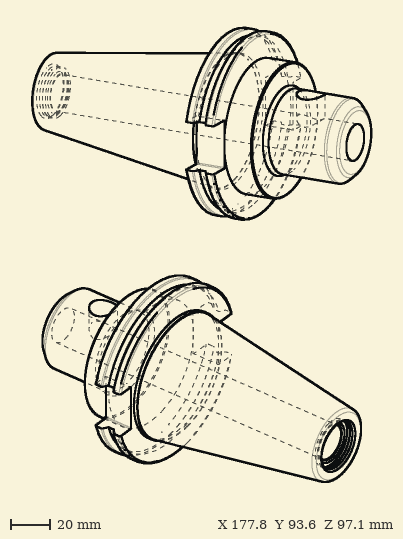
import cadquery as cq

total_length = 177.8
taper_end = 102.6
flange_start = 104.7
flange_end = 121.0
collar_end = 137.0

taper_large_dia = 69.9
taper_band_dia = 70.6
taper_small_dia = 40.0
collar_dia = 70.6
flange_dia = 97.1
nose_dia = 44.5

taper_end_fillet = 1.8
flange_rim_fillet = 0.9
slot_corner_fillet = 0.5
collar_chamfer = 0.5
neck_relief = 2.7
neck_fillet = 1.2
nose_chamfer_length = 5.2
nose_chamfer_depth = 4.6
nose_tip_fillet = 2.5
nose_shoulder_fillet = 1.8

groove_center = (flange_start + flange_end) / 2
groove_floor_width = 3.5
groove_top_width = 7.5
groove_depth = 3.0

slot_width = 25.8
slot_floor_front = 35.0
slot_floor_back = 37.7

bore_dia = 19.0
step_dia = 20.1
step_rim_dia = 22.0
counterbore_dia = 26.1
entrance_dia = 28.3
relief_dia = 26.7
relief_start = 2.8
counterbore_depth = 4.6

side_hole_dia = 14.4
side_hole_x = 151.9


def revolve_about_x(profile):
    """Revolve a closed XY profile a full turn about the X axis."""
    return profile.close().revolve(360, (0, 0, 0), (1, 0, 0))


def make_cylinder(start, end, diameter):
    """Cylinder along the X axis between two stations."""
    return cq.Workplane("YZ", origin=(start, 0, 0)).circle(diameter / 2).extrude(end - start)


def make_taper():
    taper = revolve_about_x(
        cq.Workplane("XY")
        .lineTo(0, taper_small_dia / 2)
        .lineTo(taper_end, taper_large_dia / 2)
        .lineTo(taper_end, taper_band_dia / 2)
        .lineTo(flange_start, taper_band_dia / 2)
        .lineTo(flange_start, 0)
    )
    return taper.faces("<X").edges().fillet(taper_end_fillet)


def make_flange():
    flange = make_cylinder(flange_start, flange_end, flange_dia)
    rim = flange_dia / 2
    groove = revolve_about_x(
        cq.Workplane("XY")
        .moveTo(groove_center - groove_top_width / 2, rim)
        .lineTo(groove_center - groove_floor_width / 2, rim - groove_depth)
        .lineTo(groove_center + groove_floor_width / 2, rim - groove_depth)
        .lineTo(groove_center + groove_top_width / 2, rim)
    )
    flange = flange.cut(groove)
    flange = flange.edges(cq.selectors.RadiusNthSelector(-1)).fillet(flange_rim_fillet)
    for side, floor in ((-1, slot_floor_front), (1, slot_floor_back)):
        slot = cq.Workplane("XY").box(flange_end - flange_start, flange_dia, slot_width)
        slot = slot.edges("|X").fillet(slot_corner_fillet)
        slot_x = (flange_start + flange_end) / 2
        flange = flange.cut(slot.translate((slot_x, side * (floor + flange_dia / 2), 0)))
    return flange


def make_collar():
    collar = make_cylinder(flange_end, collar_end, collar_dia)
    return collar.faces(">X").edges().chamfer(collar_chamfer)


def make_nose():
    chamfer_start = total_length - nose_chamfer_length
    nose = revolve_about_x(
        cq.Workplane("XY")
        .moveTo(collar_end, 0)
        .lineTo(collar_end, nose_dia / 2)
        .lineTo(chamfer_start, nose_dia / 2)
        .lineTo(total_length, nose_dia / 2 - nose_chamfer_depth)
        .lineTo(total_length, 0)
    )
    nose = nose.faces(">X").edges().fillet(nose_tip_fillet)
    shoulder = cq.selectors.BoxSelector(
        (chamfer_start - 0.2, -nose_dia, -nose_dia),
        (chamfer_start + 0.2, nose_dia, nose_dia),
        boundingbox=True,
    )
    nose = nose.edges(shoulder).fillet(nose_shoulder_fillet)
    neck = revolve_about_x(
        cq.Workplane("XY")
        .moveTo(collar_end, 0)
        .lineTo(collar_end, nose_dia / 2 + neck_fillet)
        .lineTo(collar_end + neck_relief, nose_dia / 2)
        .lineTo(collar_end + neck_relief, 0)
    )
    return nose.union(neck)


def make_bore():
    """Through bore with a chamfered, relieved counterbore and a conical step at the small end."""
    entrance_chamfer = (entrance_dia - counterbore_dia) / 2
    step_chamfer = (step_rim_dia - step_dia) / 2
    return revolve_about_x(
        cq.Workplane("XY")
        .lineTo(0, entrance_dia / 2)
        .lineTo(entrance_chamfer, counterbore_dia / 2)
        .lineTo(relief_start, counterbore_dia / 2)
        .lineTo(relief_start, relief_dia / 2)
        .lineTo(counterbore_depth, relief_dia / 2)
        .lineTo(counterbore_depth, step_rim_dia / 2)
        .lineTo(counterbore_depth + step_chamfer, step_dia / 2)
        .lineTo(counterbore_depth + step_chamfer, bore_dia / 2)
        .lineTo(total_length, bore_dia / 2)
        .lineTo(total_length, 0)
    )


def make_side_hole():
    """Radial hole from the top of the nose down to the bore axis."""
    hole = cq.Workplane("XY", origin=(side_hole_x, 0, 0))
    return hole.circle(side_hole_dia / 2).extrude(nose_dia)


body = make_taper().union(make_flange()).union(make_collar()).union(make_nose())
result = body.cut(make_bore()).cut(make_side_hole())